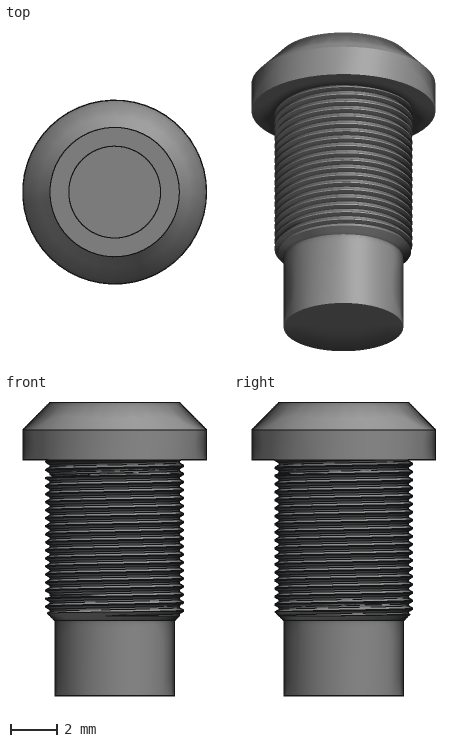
import cadquery as cq

total_height = 12.76
plug_height = 3.27
head_height = 2.5
head_bevel_height = 1.2

head_bottom = total_height - head_height
bevel_bottom = total_height - head_bevel_height
shank_height = head_bottom - plug_height

head_diameter = 8.0
head_face_diameter = 5.63
lens_diameter = 4.0
plug_diameter = 5.2
thread_major_diameter = 6.0
thread_minor_diameter = 5.63

thread_turns = 20
thread_pitch = shank_height / thread_turns
crest_width = thread_pitch / 8
root_width = thread_pitch / 4
thread_overrun = 0.61
ridge_sink = 0.03
core_seam_angle = 50

lens_depth = head_bevel_height


def cylinder(diameter, bottom, height):
    return cq.Workplane("XY").workplane(offset=bottom).circle(diameter / 2).extrude(height)


def revolve_outline(points):
    """Solid of revolution about Z from a closed outline of (radius, z) points."""
    return cq.Workplane("XZ").polyline(points).close().revolve(360, (0, 0, 0), (0, 1, 0))


def make_thread_ridge():
    """Helical ridge, sunk slightly into the thread core, running past both ends of the shank."""
    major_radius = thread_major_diameter / 2
    minor_radius = thread_minor_diameter / 2
    crest_half = crest_width / 2
    base_half = (thread_pitch - root_width) / 2
    flank_slope = (base_half - crest_half) / (major_radius - minor_radius)
    sunk_radius = minor_radius - ridge_sink
    sunk_half = base_half + flank_slope * ridge_sink

    helix = cq.Wire.makeHelix(thread_pitch, shank_height + 2 * thread_overrun, minor_radius)
    ridge = (
        cq.Workplane("XZ")
        .polyline([
            (sunk_radius, -sunk_half),
            (major_radius, -crest_half),
            (major_radius, crest_half),
            (sunk_radius, sunk_half),
        ])
        .close()
        .sweep(cq.Workplane(obj=helix), isFrenet=True)
    )
    return ridge.translate((0, 0, plug_height - thread_overrun))


def make_shank_envelope():
    """Space between plug and head: a 45 degree cone from the plug's edge, wider than the thread."""
    plug_radius = plug_diameter / 2
    outer_radius = head_diameter / 2
    return revolve_outline([
        (0, plug_height),
        (plug_radius, plug_height),
        (outer_radius, plug_height + outer_radius - plug_radius),
        (outer_radius, head_bottom),
        (0, head_bottom),
    ])


def make_threaded_shank():
    """Threaded shank with flat upper end and conical lead-in at its lower end."""
    core = cylinder(
        thread_minor_diameter,
        plug_height - 2 * thread_overrun,
        shank_height + 4 * thread_overrun,
    ).rotate((0, 0, 0), (0, 0, 1), core_seam_angle)
    long_thread = core.union(make_thread_ridge(), clean=False)
    return long_thread.intersect(make_shank_envelope(), clean=False)


def make_head():
    """Round head with a beveled upper edge."""
    return revolve_outline([
        (0, head_bottom),
        (head_diameter / 2, head_bottom),
        (head_diameter / 2, bevel_bottom),
        (head_face_diameter / 2, total_height),
        (0, total_height),
    ])


def make_lens():
    """Disc set flush into the head face."""
    return cylinder(lens_diameter, total_height - lens_depth, lens_depth)


def make_housing(lens):
    """Head and threaded shank, with a recess that fits the lens."""
    return make_head().union(make_threaded_shank()).cut(lens)


def make_rear_plug():
    """Plain cylinder against the lower face of the shank."""
    return cylinder(plug_diameter, 0, plug_height)


lens = make_lens()
housing = make_housing(lens)
rear_plug = make_rear_plug()

result = cq.Compound.makeCompound([housing.solids().val(), lens.val(), rear_plug.val()])